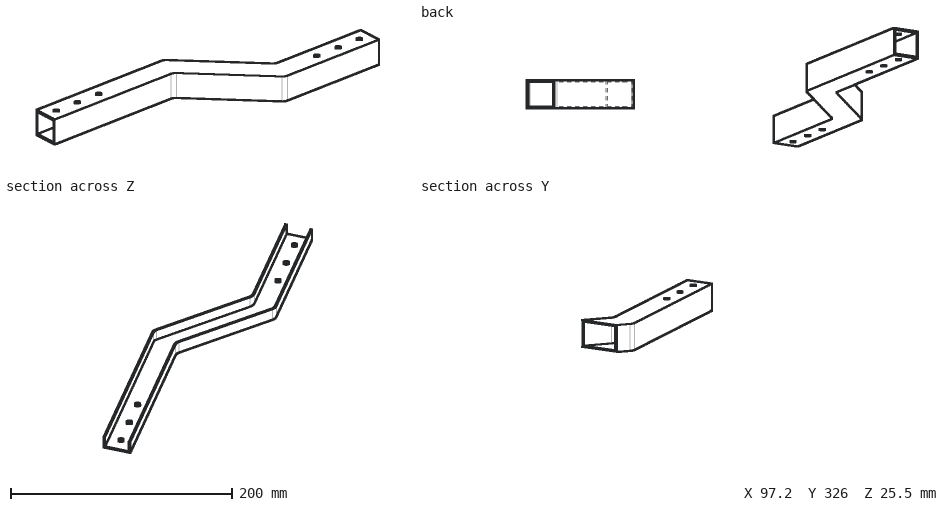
import cadquery as cq
import math

LENGTH = 326.0
TUBE_SIZE = 25.5
WALL = 1.6
SIDE_STEP = 71.7
LOWER_LEG = 147.0
BEND_ANGLE = 45.0
BEND_RADIUS = 7.0
HOLE_DIAMETER = 5.0
HOLES_PER_LEG = 3
HOLE_PITCH = TUBE_SIZE
END_TO_HOLE = TUBE_SIZE / 2

bend = math.radians(BEND_ANGLE)
first_bend_y = LOWER_LEG
second_bend_y = LOWER_LEG + SIDE_STEP / math.tan(bend)


def bent_bar(size, convex_radius, concave_radius):
    """Solid square bar along the bent centreline, with its bend corners rounded."""
    half = size / 2
    miter_shift = half * math.tan(bend / 2)
    lower_concave = (half, first_bend_y - miter_shift)
    upper_convex = (SIDE_STEP + half, second_bend_y - miter_shift)
    upper_concave = (SIDE_STEP - half, second_bend_y + miter_shift)
    lower_convex = (-half, first_bend_y + miter_shift)
    outline = [
        (-half, 0),
        (half, 0),
        lower_concave,
        upper_convex,
        (SIDE_STEP + half, LENGTH),
        (SIDE_STEP - half, LENGTH),
        upper_concave,
        lower_convex,
    ]
    bar = cq.Workplane("XY").workplane(offset=-half).polyline(outline).close().extrude(size)
    for corner, radius in (
        (lower_concave, concave_radius),
        (upper_convex, convex_radius),
        (upper_concave, concave_radius),
        (lower_convex, convex_radius),
    ):
        corner_edge = cq.selectors.NearestToPointSelector((*corner, 0))
        bar = bar.edges("|Z").edges(corner_edge).fillet(radius)
    return bar


outer_bar = bent_bar(TUBE_SIZE, BEND_RADIUS, BEND_RADIUS)
cavity = bent_bar(TUBE_SIZE - 2 * WALL, BEND_RADIUS - WALL, BEND_RADIUS + WALL)
tube = outer_bar.cut(cavity)

hole_offsets = [END_TO_HOLE + i * HOLE_PITCH for i in range(HOLES_PER_LEG)]
hole_centers = [(0, offset) for offset in hole_offsets]
hole_centers += [(SIDE_STEP, LENGTH - offset) for offset in hole_offsets]
holes = (
    cq.Workplane("XY")
    .workplane(offset=-TUBE_SIZE)
    .pushPoints(hole_centers)
    .circle(HOLE_DIAMETER / 2)
    .extrude(2 * TUBE_SIZE)
)

result = tube.cut(holes)